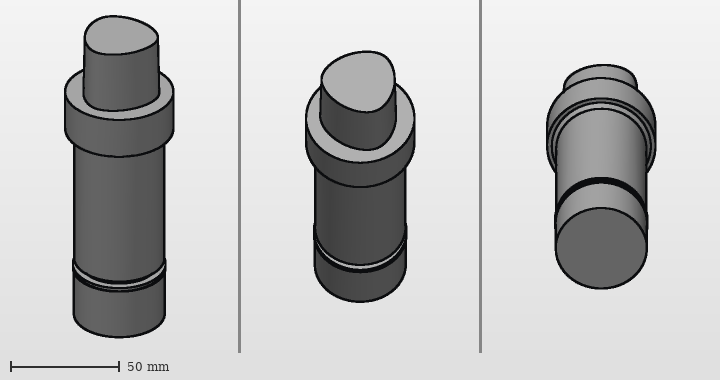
import cadquery as cq
import math

total_length = 150.0
shank_length = 30.0
flange_height = 20.0
cone_height = 2.2
coupling_height = 30.0
neck_height = 3.2
rim_height = 2.0

flange_diameter = 50.0
cone_top_diameter = 45.6
barrel_diameter = 41.5
neck_diameter = 35.0
rim_diameter = 42.8
coupling_diameter = 42.0

shank_base_width = 35.0
shank_top_width = 33.8
lobe_height = 1.0
curve_points = 60

flange_top = total_length - shank_length
flange_bottom = flange_top - flange_height
cone_bottom = flange_bottom - cone_height
neck_bottom = coupling_height - neck_height
rim_bottom = neck_bottom - rim_height


def disc(diameter, bottom, top):
    """Upright cylinder on the Z axis between two levels."""
    return cq.Workplane("XY").workplane(offset=bottom).circle(diameter / 2).extrude(top - bottom)


def lobed_wire(width, level):
    """Closed three-lobed curve that has the same width in every direction."""

    def point_at(index):
        angle = 2 * math.pi * index / curve_points
        support = width / 2 + lobe_height * math.sin(3 * angle)
        slope = 3 * lobe_height * math.cos(3 * angle)
        return cq.Vector(
            support * math.cos(angle) - slope * math.sin(angle),
            support * math.sin(angle) + slope * math.cos(angle),
            level,
        )

    points = [point_at(index) for index in range(curve_points)]
    return cq.Wire.assembleEdges([cq.Edge.makeSpline(points, periodic=True)])


def make_shank():
    """Tapered lobed shank standing on the flange."""
    base = lobed_wire(shank_base_width, flange_top)
    tip = lobed_wire(shank_top_width, total_length)
    return cq.Workplane(obj=cq.Solid.makeLoft([base, tip], True))


def make_holder():
    """Lobed shank, flange, short cone and long barrel."""
    flange = disc(flange_diameter, flange_bottom, flange_top)
    cone = cq.Workplane(
        obj=cq.Solid.makeCone(
            barrel_diameter / 2,
            cone_top_diameter / 2,
            cone_height,
            pnt=cq.Vector(0, 0, cone_bottom),
        )
    )
    barrel = disc(barrel_diameter, coupling_height, cone_bottom)
    return barrel.union(cone).union(flange).union(make_shank())


def make_coupling():
    """Lower end piece whose narrow neck meets the end face of the barrel."""
    body = disc(coupling_diameter, 0, rim_bottom)
    rim = disc(rim_diameter, rim_bottom, neck_bottom)
    neck = disc(neck_diameter, neck_bottom, coupling_height)
    return body.union(rim).union(neck)


holder = make_holder()
coupling = make_coupling()

result = cq.Compound.makeCompound([holder.val(), coupling.val()])